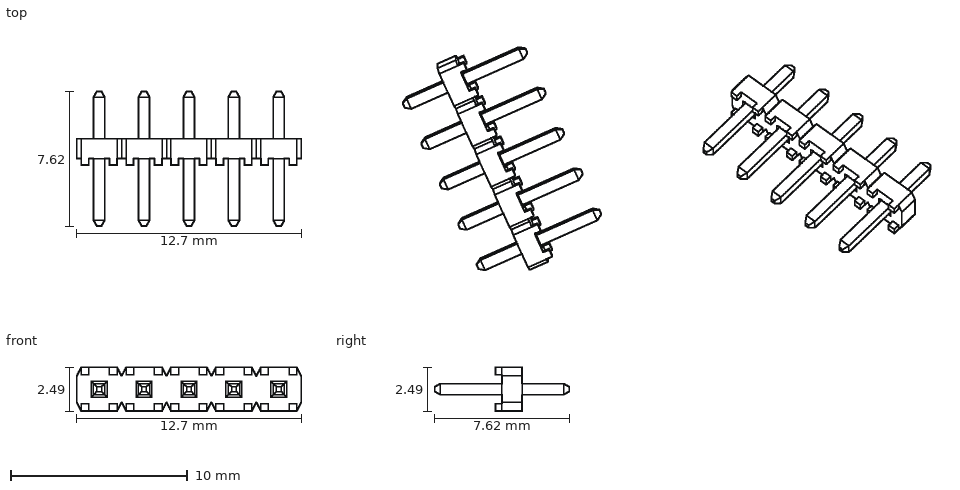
import cadquery as cq

pin_count = 5
pitch = 2.54
row_length = pin_count * pitch

body_height = 2.49
body_depth = 1.14
bevel_width = 0.254
bevel_height = 0.5

foot_size = 0.43
foot_length = 0.37

pin_width = 0.64
pin_length = 7.62
pin_front_length = 3.81
tip_width = 0.27
tip_length = 0.33

lead_in_width = 0.9
lead_in_depth = 0.12

pin_front = -pin_length / 2
pin_back = pin_length / 2
body_front = pin_front + pin_front_length
body_back = body_front + body_depth

pin_positions = [(i - (pin_count - 1) / 2) * pitch for i in range(pin_count)]


def box_between(x_limits, y_limits, z_limits):
    """Axis-aligned box between pairs of limits."""
    lengths = [high - low for low, high in (x_limits, y_limits, z_limits)]
    corner = cq.Vector(x_limits[0], y_limits[0], z_limits[0])
    return cq.Workplane("XY").box(*lengths, centered=False).translate(corner)


def square_taper(x, y_start, width_start, y_end, width_end):
    """Square frustum running in +Y from y_start to y_end."""
    return (
        cq.Workplane("XZ", origin=(x, y_start, 0))
        .rect(width_start, width_start)
        .workplane(offset=y_start - y_end)
        .rect(width_end, width_end)
        .loft(ruled=True)
    )


def make_body():
    """Row of bevelled cells; neighbouring bevels form V notches."""
    half_height = body_height / 2
    half_side = half_height - bevel_height
    upper = [(-row_length / 2, half_side)]
    for x in pin_positions:
        upper.append((x - pitch / 2 + bevel_width, half_height))
        upper.append((x + pitch / 2 - bevel_width, half_height))
        upper.append((x + pitch / 2, half_side))
    lower = [(x, -z) for x, z in reversed(upper)]
    return (
        cq.Workplane("XZ", origin=(0, body_back, 0))
        .polyline(upper + lower)
        .close()
        .extrude(body_depth)
    )


def add_feet(body, x):
    """Four feet at the corners of one cell, flush with its flat edges."""
    outer_x = pitch / 2 - bevel_width
    outer_z = body_height / 2
    y_limits = (body_front - foot_length, body_front)
    for x_low in (x - outer_x, x + outer_x - foot_size):
        for z_low in (-outer_z, outer_z - foot_size):
            foot = box_between((x_low, x_low + foot_size), y_limits, (z_low, z_low + foot_size))
            body = body.union(foot)
    return body


def make_pin(x):
    """Square pin with a tapered tip at each end."""
    half_width = pin_width / 2
    shank_front = pin_front + tip_length
    shank_back = pin_back - tip_length
    shank = box_between(
        (x - half_width, x + half_width), (shank_front, shank_back), (-half_width, half_width)
    )
    front_tip = square_taper(x, pin_front, tip_width, shank_front, pin_width)
    back_tip = square_taper(x, shank_back, pin_width, pin_back, tip_width)
    return shank.union(front_tip).union(back_tip)


result = make_body()
for pin_x in pin_positions:
    result = add_feet(result, pin_x)
    result = result.cut(
        square_taper(pin_x, body_front, lead_in_width, body_front + lead_in_depth, pin_width)
    )
    result = result.union(make_pin(pin_x))